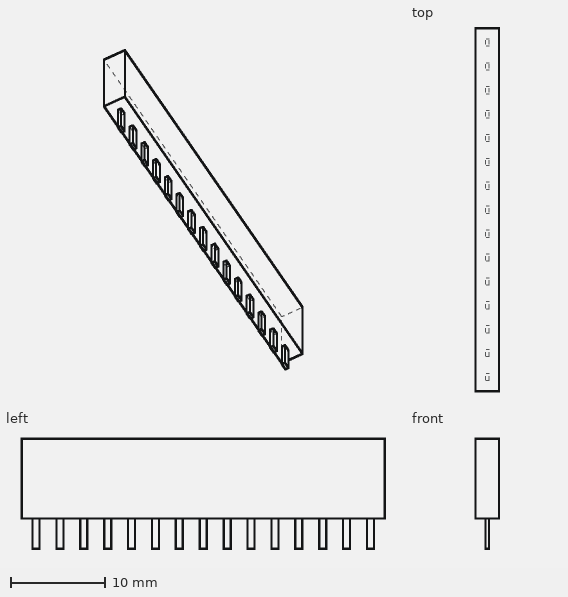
import cadquery as cq

housing_width = 2.55
housing_length = 38.6
total_height = 11.7
housing_height = 8.5

pin_count = 15
pin_row_span = 35.55
pin_pitch = pin_row_span / (pin_count - 1)
pin_thickness = 0.4
pin_width = 0.77
pin_length = total_height - housing_height


def make_housing():
    """Solid bar standing on the XY plane."""
    return cq.Workplane("XY").box(
        housing_width, housing_length, housing_height, centered=(True, True, False)
    )


def make_pins():
    """Row of blades centred along Y, hanging down from the housing base."""
    return (
        cq.Workplane("XY")
        .rarray(0.4, pin_pitch, 1, pin_count)
        .rect(pin_thickness, pin_width)
        .extrude(-pin_length)
    )


result = make_housing().union(make_pins())